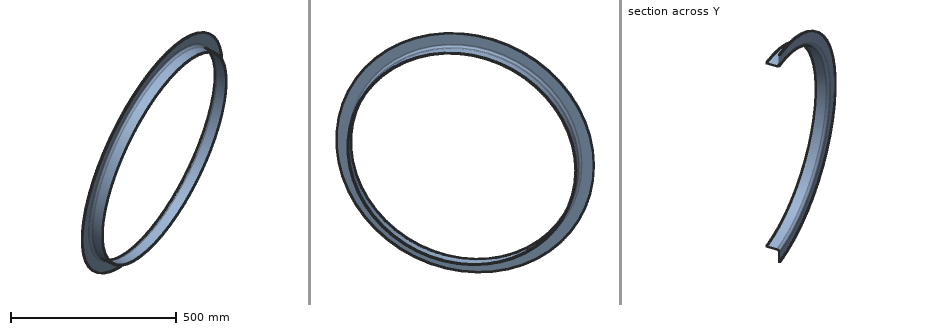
import cadquery as cq
import math

flange_diameter = 800.0
collar_outer_diameter = 711.2
collar_inner_diameter = 705.2
total_length = 45.0
bend_outer_radius = 10.0

flange_radius = flange_diameter / 2
collar_outer_radius = collar_outer_diameter / 2
collar_inner_radius = collar_inner_diameter / 2
sheet_thickness = collar_outer_radius - collar_inner_radius
bend_inner_radius = bend_outer_radius - sheet_thickness
bend_center_x = bend_outer_radius
bend_center_radius = collar_inner_radius + bend_outer_radius


def bend_midpoint(arc_radius):
    """Middle of the quarter-circle bend, as (x, radial distance)."""
    offset = arc_radius * math.cos(math.radians(45))
    return (bend_center_x - offset, bend_center_radius - offset)


def make_flanged_ring():
    """Revolve the L-shaped sheet section, flange and collar, around the X axis."""
    section = (
        cq.Workplane("XY")
        .moveTo(0, flange_radius)
        .lineTo(0, bend_center_radius)
        .threePointArc(bend_midpoint(bend_outer_radius), (bend_center_x, collar_inner_radius))
        .lineTo(total_length, collar_inner_radius)
        .lineTo(total_length, collar_outer_radius)
        .lineTo(bend_center_x, collar_outer_radius)
        .threePointArc(bend_midpoint(bend_inner_radius), (sheet_thickness, bend_center_radius))
        .lineTo(sheet_thickness, flange_radius)
        .close()
    )
    return section.revolve(360, (0, 0, 0), (1, 0, 0))


result = make_flanged_ring()